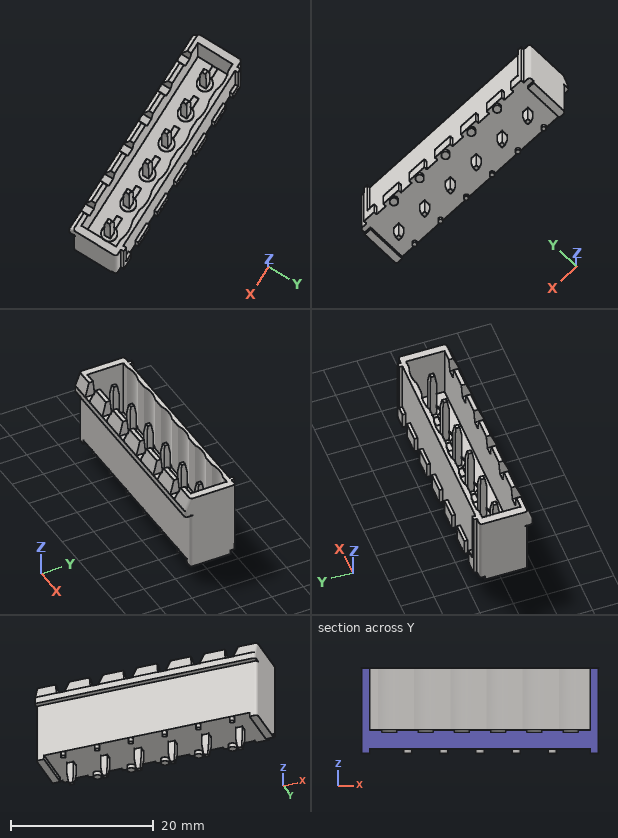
import cadquery as cq

length = 33.28
top_z = 12.0
foot_height = 0.63
front_y = -3.53
back_y = 3.65
corner_radius = 0.4

ledge_y = -4.33
ledge_bottom_z = top_z - 3.0
ledge_top_z = top_z - 2.0

pin_count = 6
pin_row_length = 25.4
pin_width = 1.0
pin_top_z = top_z - 1.1
pin_upper_taper = 1.5
pin_upper_tip_width = 0.55
pin_bottom_z = -2.6
pin_lower_shoulder_z = -1.05
pin_lower_tip_width = 0.6

cavity_length = 30.92
cavity_front_y = -2.85
cavity_back_y = 2.85
cavity_floor_z = 3.33
scallop_width = 3.25
scallop_depth = 0.3

pin_recess_diameter = 2.3
pin_recess_depth = 0.33
slot_width = 0.83
slot_depth = 0.15

notch_top_width = 2.03
notch_bottom_width = 1.15

rib_back_y = 4.15
middle_rib_length = 3.0
end_rib_length = 2.0
tall_rib_length = 0.63
low_rib_top_z = cavity_floor_z

back_standoff_diameter = 1.2
front_standoff_diameter = 0.7

pitch = pin_row_length / (pin_count - 1)
pin_xs = [i * pitch - pin_row_length / 2 for i in range(pin_count)]
between_xs = [x + pitch / 2 for x in pin_xs[:-1]]
cavity_left_x = -cavity_length / 2
cavity_right_x = cavity_length / 2


def box(x_range, y_range, z_range):
    """Box spanning the given (low, high) range on each axis."""
    sizes = [high - low for low, high in (x_range, y_range, z_range)]
    corner = (x_range[0], y_range[0], z_range[0])
    return cq.Workplane("XY").box(*sizes, centered=False).translate(corner)


def shell_block():
    """Solid block with the sloped ledge and rounded upright corners."""
    profile = [
        (back_y, 0),
        (front_y, 0),
        (front_y, ledge_bottom_z),
        (ledge_y, ledge_bottom_z),
        (ledge_y, ledge_top_z),
        (front_y, top_z),
        (back_y, top_z),
    ]
    block = cq.Workplane("YZ").polyline(profile).close().extrude(length / 2, both=True)
    upright_edges = block.faces("<X or >X").edges("not #Z")
    return upright_edges.fillet(corner_radius)


def underside_clearance():
    """Space between the two end feet, and behind them, below the raised underside."""
    between_feet = box((cavity_left_x, cavity_right_x), (ledge_y, rib_back_y), (0, foot_height))
    behind_feet = box((-length / 2, length / 2), (cavity_back_y, rib_back_y), (0, foot_height))
    return between_feet.union(behind_feet)


def cavity():
    """Open-topped cavity whose back wall is scalloped behind each pin."""
    outline = cq.Workplane("XY", origin=(0, 0, cavity_floor_z))
    outline = outline.moveTo(cavity_left_x, cavity_front_y).lineTo(cavity_left_x, cavity_back_y)
    for x in pin_xs:
        outline = outline.lineTo(x - scallop_width / 2, cavity_back_y).threePointArc(
            (x, cavity_back_y + scallop_depth), (x + scallop_width / 2, cavity_back_y)
        )
    outline = outline.lineTo(cavity_right_x, cavity_back_y).lineTo(cavity_right_x, cavity_front_y)
    return outline.close().extrude(top_z - cavity_floor_z)


def front_notch(x):
    """Tapered notch that opens the front wall in front of a pin."""
    return (
        cq.Workplane("XZ", origin=(x, cavity_front_y, 0))
        .moveTo(-notch_top_width / 2, top_z)
        .lineTo(-notch_bottom_width / 2, ledge_top_z)
        .lineTo(notch_bottom_width / 2, ledge_top_z)
        .lineTo(notch_top_width / 2, top_z)
        .close()
        .extrude(cavity_front_y - ledge_y)
    )


def floor_recess(x):
    """Round recess about a pin with a shallower slot leading to it from the left."""
    slot_reach = pin_xs[0] - cavity_left_x
    round_recess = (
        cq.Workplane("XY", origin=(x, 0, cavity_floor_z))
        .circle(pin_recess_diameter / 2)
        .extrude(-pin_recess_depth)
    )
    slot = box(
        (x - slot_reach, x),
        (-slot_width / 2, slot_width / 2),
        (cavity_floor_z - slot_depth, cavity_floor_z),
    )
    return round_recess.union(slot)


def back_ribs():
    """Low ribs between the pins and at both ends; the end ribs have a full-height outer part."""
    y_range = (cavity_back_y + scallop_depth, rib_back_y)
    low_z = (foot_height, low_rib_top_z)
    full_z = (foot_height, top_z)
    half_rib = middle_rib_length / 2
    ribs = [box((x - half_rib, x + half_rib), y_range, low_z) for x in between_xs]
    ribs += [
        box((cavity_left_x, cavity_left_x + end_rib_length), y_range, low_z),
        box((cavity_left_x, cavity_left_x + tall_rib_length), y_range, full_z),
        box((cavity_right_x - end_rib_length, cavity_right_x), y_range, low_z),
        box((cavity_right_x - tall_rib_length, cavity_right_x), y_range, full_z),
    ]
    return ribs


def standoffs():
    """Round standoffs: one under each middle back rib, one at the front edge by each pin."""
    back_points = [(x, rib_back_y - back_standoff_diameter / 2) for x in between_xs]
    front_points = [(x, front_y + front_standoff_diameter / 2) for x in pin_xs]
    back = cq.Workplane("XY").pushPoints(back_points).circle(back_standoff_diameter / 2)
    front = cq.Workplane("XY").pushPoints(front_points).circle(front_standoff_diameter / 2)
    return back.extrude(foot_height), front.extrude(foot_height)


def make_pin(x):
    """Square pin, tapered at both ends."""
    lower = (
        cq.Workplane("XY", origin=(x, 0, pin_bottom_z))
        .rect(pin_lower_tip_width, pin_lower_tip_width)
        .workplane(offset=pin_lower_shoulder_z - pin_bottom_z)
        .rect(pin_width, pin_width)
        .loft(ruled=True)
    )
    upper_shoulder_z = pin_top_z - pin_upper_taper
    shank = (
        cq.Workplane("XY", origin=(x, 0, pin_lower_shoulder_z))
        .rect(pin_width, pin_width)
        .extrude(upper_shoulder_z - pin_lower_shoulder_z)
    )
    upper = (
        cq.Workplane("XY", origin=(x, 0, upper_shoulder_z))
        .rect(pin_width, pin_width)
        .workplane(offset=pin_upper_taper)
        .rect(pin_upper_tip_width, pin_upper_tip_width)
        .loft(ruled=True)
    )
    return lower.union(shank).union(upper)


def make_housing():
    """Housing with a square through hole for each pin."""
    body = shell_block().cut(underside_clearance())
    for rib in back_ribs():
        body = body.union(rib)
    for standoff_group in standoffs():
        body = body.union(standoff_group)
    body = body.cut(cavity())
    for x in pin_xs:
        body = body.cut(front_notch(x)).cut(floor_recess(x))
        pin_hole = cq.Workplane("XY").center(x, 0).rect(pin_width, pin_width).extrude(top_z)
        body = body.cut(pin_hole)
    return body


housing = make_housing()
pins = [make_pin(x) for x in pin_xs]

result = cq.Compound.makeCompound([housing.val(), *[pin.val() for pin in pins]])